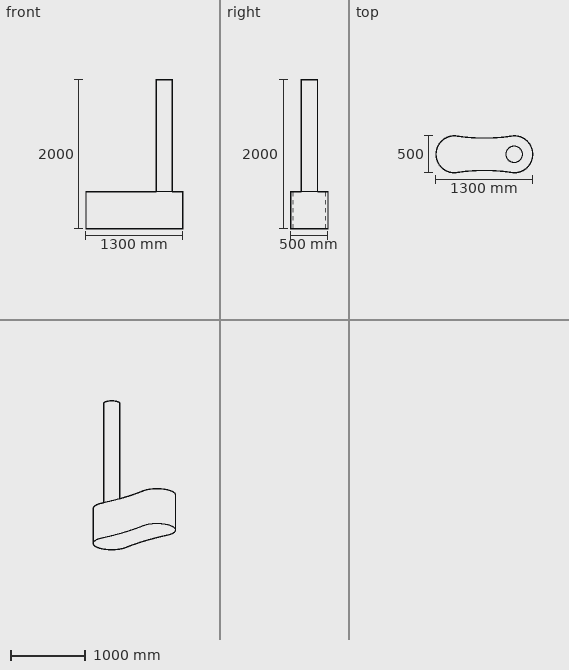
import cadquery as cq
import math

total_height = 2000.0
base_height = 500.0
base_width = 500.0
base_length = 1300.0
waist_radius = 2500.0
post_diameter = 220.0

end_radius = base_width / 2
end_offset = base_length / 2 - end_radius
waist_depth = waist_radius - math.sqrt(waist_radius**2 - end_offset**2)
waist_half_width = end_radius - waist_depth
post_height = total_height - base_height


def make_base():
    """Waisted block with round ends, centred on the Z axis."""
    return (
        cq.Workplane("XY")
        .moveTo(-end_offset, -end_radius)
        .threePointArc((0, -waist_half_width), (end_offset, -end_radius))
        .threePointArc((base_length / 2, 0), (end_offset, end_radius))
        .threePointArc((0, waist_half_width), (-end_offset, end_radius))
        .threePointArc((-base_length / 2, 0), (-end_offset, -end_radius))
        .close()
        .extrude(base_height)
    )


def make_post():
    """Round post standing on the base, concentric with its +X end."""
    return (
        cq.Workplane("XY", origin=(end_offset, 0, base_height))
        .circle(post_diameter / 2)
        .extrude(post_height)
    )


result = make_base().union(make_post())